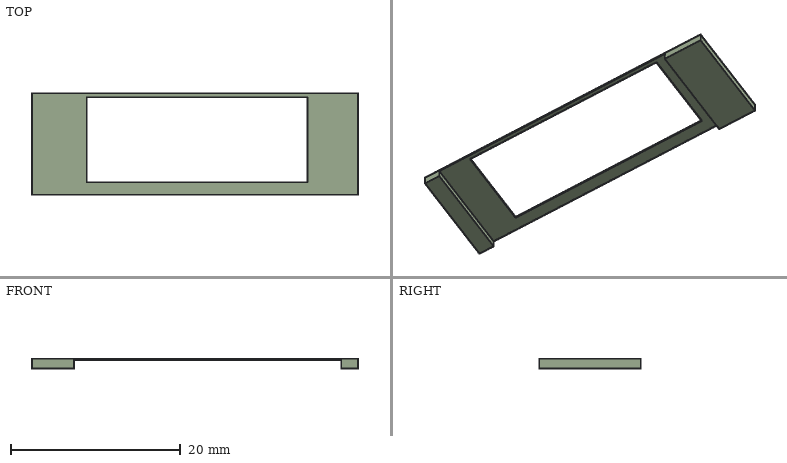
import cadquery as cq

length = 38.5
width = 12.0
height = 1.2

sheet_thickness = 0.2

window_length = 26.0
window_width = 10.0
window_left_margin = 6.5
window_front_margin = 1.5

left_pad_length = 5.0
right_pad_length = 2.0
pad_height = height - sheet_thickness


def corner_box(size_x, size_y, size_z, corner):
    """Box whose minimum X, Y, Z corner sits at the given point."""
    return cq.Workplane("XY").box(size_x, size_y, size_z, centered=False).translate(corner)


def make_sheet():
    """Thin rectangular sheet with its off-centre window."""
    sheet = corner_box(length, width, sheet_thickness, (0, 0, pad_height))
    window = corner_box(
        window_length,
        window_width,
        sheet_thickness,
        (window_left_margin, window_front_margin, pad_height),
    )
    return sheet.cut(window)


def make_pad(pad_length, start_x):
    """Full-width pad between the base and the underside of the sheet."""
    return corner_box(pad_length, width, pad_height, (start_x, 0, 0))


left_pad = make_pad(left_pad_length, 0)
right_pad = make_pad(right_pad_length, length - right_pad_length)

result = make_sheet().union(left_pad, clean=False).union(right_pad, clean=False)